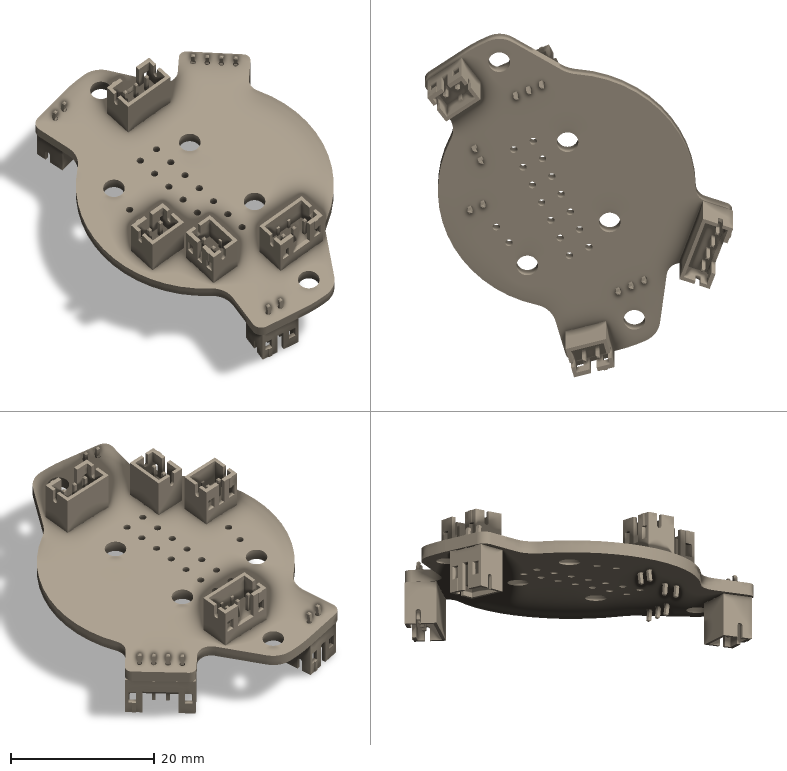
import cadquery as cq
import math

BOARD_T = 1.75
DISC_R = 18.0

EAR_X = 25.5
EAR_TOP_Y = 2.0
EAR_TOP_SLOPE = 32.7
EAR_KINK_Y = -2.1
EAR_TILT = 10.0
EAR_LEAN_LENGTH = 9.25
EAR_INNER_X = 8.15
EAR_TOP_ROUND = 3.55
EAR_KINK_ROUND = 20.4
EAR_LOW_ROUND = 1.4
EAR_TOP_NECK_ROUND = 5.0
EAR_LOW_NECK_ROUND = 3.45

TAB_ANGLE = 135
TAB_REACH = 23.0
TAB_HALF_W = 5.0
TAB_CORNER_ROUND = 1.0
TAB_NECK_ROUND = 2.0

MOUNT_HOLE_D = 3.0
MOUNT_HOLES = [(-21.95, 0), (21.95, 0), (-6.95, 3.3), (6.75, 3.3), (-7.95, -9.9)]
HEADER_HOLE_D = 1.0
HEADER_PITCH = 3.0
HEADER_COLUMNS = 7
HEADER_ROWS = 2
HEADER_CENTER = (-0.1, -2.45)
PAIR_HOLES = [(-3.7, -10.7), (-0.75, -11.25)]
PIN_HOLE_D = 0.75

TOTAL_H = 13.7
SHELL_H = (TOTAL_H - BOARD_T) / 2
SHELL_D = 4.5
PIN_PITCH = 2.0
END_MARGIN = 1.95
FRONT_Y = -1.7
FRONT_WALL = 0.6
WALL = 0.5
FLOOR_Z = 2.0
SLOT_EXTRA_W = 1.0
SLOT_DEPTH = 3.9
WINDOW_W = 1.05
WINDOW_INSET = 0.45
WINDOW_H = 1.85
WINDOW_DROP = 1.85
NOTCH_W = 0.75
NOTCH_DEPTH = 2.05
NOTCH_Y = 0.2
RIB_W = 0.45
RIB_D = 0.25
RIB_DROP = 2.35
MARK_W = 0.55
MARK_D = 0.1
CHANNEL_W = 1.7
CHANNEL_H = 0.1
PIN_W = 0.5
PIN_DROP = 0.9
PIN_TAIL = 3.4
TAIL_JOG = 0.15
TAIL_JOG_LENGTH = 0.2
TAIL_END_SHIFT = 0.05
PIN_CHAMFER = 0.15

TOP_PLACES = [
    (3, (-16.75, 1.95), -90),
    (3, (16.55, 2.0), 90),
    (2, (3.45, -12.35), -90),
    (2, (10.65, -8.65), 0),
]
TAB_PIN_REACH = 21.2
EAR_PINS = (22.65, -7.05)
BOTTOM_PLACES = [
    (
        4,
        (
            TAB_PIN_REACH * math.cos(math.radians(TAB_ANGLE)),
            TAB_PIN_REACH * math.sin(math.radians(TAB_ANGLE)),
        ),
        TAB_ANGLE + 90,
    ),
    (2, (-EAR_PINS[0], EAR_PINS[1]), EAR_TILT - 90),
    (2, EAR_PINS, 90 - EAR_TILT),
]


def block(x0, x1, y0, y1, z0, z1):
    """Box between two opposite corners."""
    return cq.Workplane("XY").box(x1 - x0, y1 - y0, z1 - z0, centered=False).translate((x0, y0, z0))


def pin_offsets(count):
    """Pin positions along the row, centred on the origin."""
    return [(i - (count - 1) / 2) * PIN_PITCH for i in range(count)]


def make_pin(x):
    """Square pin, straight through the board, with a cranked tail and chamfered ends."""
    half = PIN_W / 2
    centre_line = [
        (0, SHELL_H - PIN_DROP),
        (0, -BOARD_T),
        (-TAIL_JOG, -BOARD_T - TAIL_JOG_LENGTH),
        (TAIL_END_SHIFT, -PIN_TAIL),
    ]
    front_side = [(y - half, z) for y, z in centre_line]
    back_side = [(y + half, z) for y, z in reversed(centre_line)]
    pin = cq.Workplane("YZ").polyline(front_side + back_side).close().extrude(half, both=True)
    pin = pin.faces(">Z or <Z").chamfer(PIN_CHAMFER)
    return pin.translate((x, 0, 0))


def make_connector(count):
    """Open-topped shell with its pins, one solid."""
    pins = pin_offsets(count)
    half_l = pins[-1] + END_MARGIN
    back_y = FRONT_Y + SHELL_D
    inner_x = half_l - WALL
    inner_front = FRONT_Y + FRONT_WALL
    inner_back = back_y - WALL

    shell = block(-half_l, half_l, FRONT_Y, back_y, 0, SHELL_H)
    shell = shell.cut(block(-inner_x, inner_x, inner_front, inner_back, FLOOR_Z, SHELL_H))

    slot_half = ((count - 2) * PIN_PITCH + SLOT_EXTRA_W) / 2
    shell = shell.cut(block(-slot_half, slot_half, FRONT_Y, inner_front, SHELL_H - SLOT_DEPTH, SHELL_H))

    window_top = SHELL_H - WINDOW_DROP
    window_out = half_l - WINDOW_INSET
    window_in = window_out - WINDOW_W
    window = block(window_in, window_out, FRONT_Y, inner_front, window_top - WINDOW_H, window_top)
    shell = shell.cut(window).cut(window.mirror("YZ"))

    notch_mid_z = SHELL_H - NOTCH_DEPTH + NOTCH_W / 2
    notch = block(-half_l, half_l, NOTCH_Y - NOTCH_W / 2, NOTCH_Y + NOTCH_W / 2, notch_mid_z, SHELL_H)
    notch_round = (
        cq.Workplane("YZ", origin=(-half_l, NOTCH_Y, notch_mid_z))
        .circle(NOTCH_W / 2)
        .extrude(2 * half_l)
    )
    shell = shell.cut(notch.union(notch_round))

    for left_pin in pins[:-1]:
        rib_x = left_pin + PIN_PITCH / 2
        rib = block(
            rib_x - RIB_W / 2, rib_x + RIB_W / 2, inner_back - RIB_D, inner_back, FLOOR_Z, SHELL_H - RIB_DROP
        )
        shell = shell.union(rib)

    shell = shell.union(block(window_in, window_in + MARK_W, FRONT_Y - MARK_D, FRONT_Y, window_top, SHELL_H))

    for x in pins:
        shell = shell.cut(block(x - CHANNEL_W / 2, x + CHANNEL_W / 2, FRONT_Y, back_y, 0, CHANNEL_H))
        shell = shell.union(make_pin(x))
    return shell


def on_top(count, center, turn):
    """Connector standing on the upper face of the board."""
    return make_connector(count).rotate((0, 0, 0), (0, 0, 1), turn).translate((*center, BOARD_T))


def underneath(count, center, turn):
    """Connector hanging from the lower face of the board."""
    hanging = make_connector(count).rotate((0, 0, 0), (0, 1, 0), 180)
    return hanging.rotate((0, 0, 0), (0, 0, 1), turn).translate((*center, 0))


def round_corner(body, x, y, radius):
    """Round the upright edge nearest to a place on the outline."""
    nearest = cq.selectors.NearestToPointSelector((x, y, BOARD_T / 2))
    return body.edges("|Z").edges(nearest).fillet(radius)


def pin_places(count, center, turn):
    """Board positions of one connector's pins."""
    angle = math.radians(turn)
    return [
        (center[0] + x * math.cos(angle), center[1] + x * math.sin(angle)) for x in pin_offsets(count)
    ]


def make_board():
    """Disc with two ears and a diagonal tab, drilled."""
    tilt = math.radians(EAR_TILT)
    top_slope = math.tan(math.radians(EAR_TOP_SLOPE))
    low_x = EAR_X - EAR_LEAN_LENGTH * math.sin(tilt)
    low_y = EAR_KINK_Y - EAR_LEAN_LENGTH * math.cos(tilt)
    right_side = [
        (EAR_INNER_X, EAR_TOP_Y + (EAR_X - EAR_INNER_X) * top_slope),
        (EAR_X, EAR_TOP_Y),
        (EAR_X, EAR_KINK_Y),
        (low_x, low_y),
        (0, low_y + low_x * math.tan(tilt)),
    ]
    left_side = [(-x, y) for x, y in reversed(right_side[:-1])]
    board = cq.Workplane("XY").polyline(right_side + left_side).close().extrude(BOARD_T)

    tab = block(0, TAB_REACH, -TAB_HALF_W, TAB_HALF_W, 0, BOARD_T)
    tab = tab.edges("|Z and >X").fillet(TAB_CORNER_ROUND)
    board = board.union(tab.rotate((0, 0, 0), (0, 0, 1), TAB_ANGLE))

    tab_edge_drop = TAB_HALF_W * math.sqrt(2)
    neck_x = (EAR_TOP_Y + EAR_X * top_slope + tab_edge_drop) / (1 + top_slope)
    board = round_corner(board, -neck_x, neck_x - tab_edge_drop, TAB_NECK_ROUND)

    for side in (-1, 1):
        board = round_corner(board, side * EAR_X, EAR_TOP_Y, EAR_TOP_ROUND)
        board = round_corner(board, side * low_x, low_y, EAR_LOW_ROUND)
        board = round_corner(board, side * EAR_X, EAR_KINK_Y, EAR_KINK_ROUND)

    board = board.union(cq.Workplane("XY").circle(DISC_R).extrude(BOARD_T))

    tab_neck = math.radians(TAB_ANGLE) - math.asin(TAB_HALF_W / DISC_R)
    board = round_corner(board, DISC_R * math.cos(tab_neck), DISC_R * math.sin(tab_neck), TAB_NECK_ROUND)

    slope_angle = math.radians(EAR_TOP_SLOPE)
    top_offset = EAR_TOP_Y * math.cos(slope_angle) + EAR_X * math.sin(slope_angle)
    top_neck = math.asin(top_offset / DISC_R) - slope_angle
    board = round_corner(board, DISC_R * math.cos(top_neck), DISC_R * math.sin(top_neck), EAR_TOP_NECK_ROUND)

    low_offset = low_y * math.cos(tilt) + low_x * math.sin(tilt)
    low_neck = math.asin(low_offset / DISC_R) - tilt
    for side in (-1, 1):
        board = round_corner(
            board, side * DISC_R * math.cos(low_neck), DISC_R * math.sin(low_neck), EAR_LOW_NECK_ROUND
        )

    header = (
        cq.Workplane("XY")
        .center(*HEADER_CENTER)
        .rarray(HEADER_PITCH, HEADER_PITCH, HEADER_COLUMNS, HEADER_ROWS)
        .circle(HEADER_HOLE_D / 2)
        .extrude(BOARD_T)
    )
    board = board.cut(header)
    pin_holes = []
    for place in TOP_PLACES + BOTTOM_PLACES:
        pin_holes += pin_places(*place)
    hole_sets = [(MOUNT_HOLES, MOUNT_HOLE_D), (PAIR_HOLES, HEADER_HOLE_D), (pin_holes, PIN_HOLE_D)]
    for places, diameter in hole_sets:
        board = board.cut(cq.Workplane("XY").pushPoints(places).circle(diameter / 2).extrude(BOARD_T))
    return board


board = make_board()
top_connectors = [on_top(*place) for place in TOP_PLACES]
bottom_connectors = [underneath(*place) for place in BOTTOM_PLACES]

result = cq.Compound.makeCompound(
    [board.val()] + [connector.val() for connector in top_connectors + bottom_connectors]
)